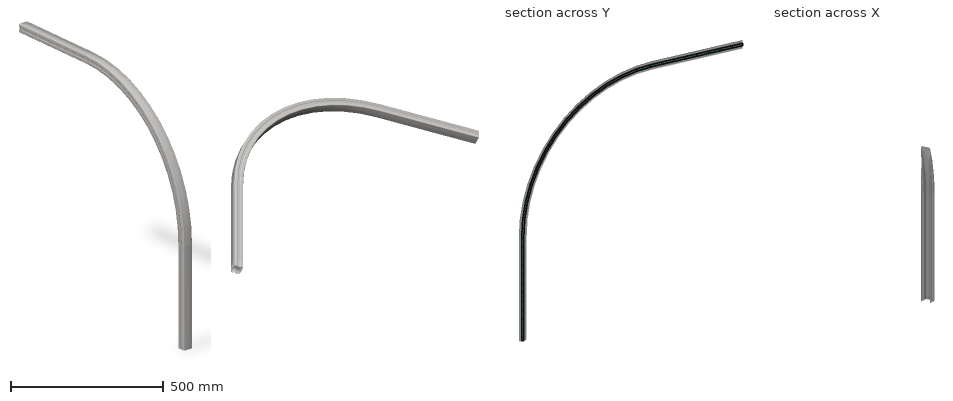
import cadquery as cq
import math

length_x = 865.0
height_z = 885.0
width = 35.0
depth = 31.0

bend_outer_radius = 515.0
bend_angle = 90
upper_leg = length_x - bend_outer_radius
lower_leg = height_z - bend_outer_radius
path_height = height_z - depth / 2
path_x = length_x - depth / 2

wall = 1.1
corner_radius = 3.0
groove_mouth = 11.0
groove_floor = 6.0
groove_depth = 1.3


def add_section(plane, inset):
    """Draw the rounded section with a groove in each side, shrunk by inset."""
    half_width = width / 2 - inset
    half_depth = depth / 2 - inset
    floor_y = half_width - groove_depth
    half_mouth = groove_mouth / 2 + inset
    half_floor = groove_floor / 2 + inset
    radius = corner_radius - inset
    flat_y = half_width - radius
    flat_z = half_depth - radius
    arc_y = flat_y + radius * math.sqrt(0.5)
    arc_z = flat_z + radius * math.sqrt(0.5)

    outline = plane.moveTo(-flat_y, -half_depth)
    for turn in (1, -1):
        def point(y, z):
            return (turn * y, turn * z)

        outline = (
            outline.lineTo(*point(flat_y, -half_depth))
            .threePointArc(point(arc_y, -arc_z), point(half_width, -flat_z))
            .lineTo(*point(half_width, -half_mouth))
            .lineTo(*point(floor_y, -half_floor))
            .lineTo(*point(floor_y, half_floor))
            .lineTo(*point(half_width, half_mouth))
            .lineTo(*point(half_width, flat_z))
            .threePointArc(point(arc_y, arc_z), point(flat_y, half_depth))
        )
    return outline.close()


def hollow_section(plane):
    """Grooved tube wall: the outside and the bore inside it."""
    return add_section(add_section(plane, 0), wall)


upper = hollow_section(cq.Workplane("YZ", origin=(0, 0, path_height))).extrude(upper_leg)

bend_plane = cq.Workplane("YZ", origin=(upper_leg, 0, path_height))
axis_z = lower_leg - path_height
bend = hollow_section(bend_plane).revolve(bend_angle, (0, axis_z), (1, axis_z))

lower_plane = cq.Workplane(cq.Plane(origin=(path_x, 0, 0), xDir=(0, -1, 0), normal=(0, 0, 1)))
lower = hollow_section(lower_plane).extrude(lower_leg)

result = upper.union(bend).union(lower)